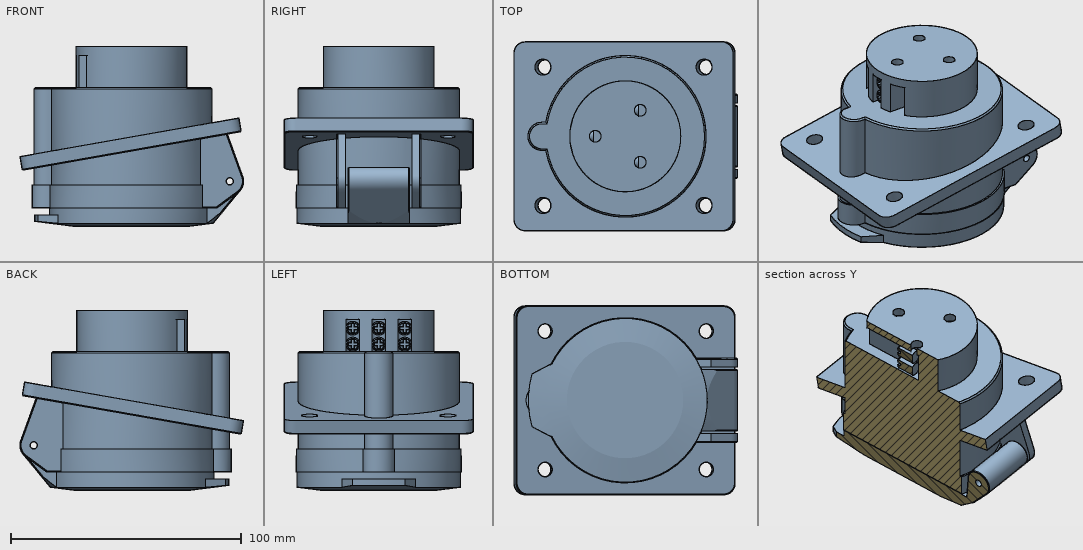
import cadquery as cq
import math

BARREL_R = 35.0
BARREL_TOP = 60.2
BARREL_CHAMFER = 0.7
KEY_X = -36.1
KEY_R = 6.1
COLLAR_STEP = 0.8
COLLAR_BOTTOM = 8.0
COLLAR_TOP = 18.0
COLLAR_R = BARREL_R + COLLAR_STEP

FLANGE_TILT = math.radians(10)
FLANGE_CENTER_X = -0.3
FLANGE_CENTER_Z = 35.6
FLANGE_LENGTH = 96.5
FLANGE_WIDTH = 82.0
FLANGE_THICKNESS = 6.0
FLANGE_CORNER_R = 5.0
FLANGE_CHAMFER = 0.4
MOUNT_HOLE_TOP_D = 7.0
MOUNT_HOLE_BOTTOM_D = 6.2
MOUNT_PITCH_X = 70.9
MOUNT_PITCH_Y = 60.0

INSERT_R = 24.1
INSERT_TOP = 78.0
WIRE_HOLE_D = 5.0
WIRE_CIRCLE_R = 13.0
WIRE_COUNT = 3
SLOT_WIDTH = 6.0
SLOT_TOP = 74.1

SCREW_D = SLOT_WIDTH
SCREW_LENGTH = 8.3
SCREW_CHAMFER = 0.6
SCREW_TIP_OFFSET = 0.9
SCREW_HEIGHTS = (63.4, 70.3)
CROSS_SPAN = 4.5
CROSS_WIDTH = 1.65
CROSS_DEPTH = 1.5
CROSS_TAPER = 11

HINGE_X = 42.7
HINGE_Z = 19.5
HINGE_R = 6.0
HINGE_HOLE_D = 3.0
HINGE_CHAMFER = 0.5
EAR_OUTER_Y = 18.2
EAR_INNER_Y = 14.4
EAR_TOP_X = 41.5
EAR_TOP_Z = 40.4
EAR_FOOT_X = 37.2
EAR_ROOT_X = 24.3

LID_R = 35.5
LID_TOP = COLLAR_BOTTOM
LID_FLAT_R = 25.2
LUG_HALF_WIDTH = 13.4
LUG_ROOT_X = 27.2
LUG_FLARE = 1.2
TAB_R = 42.0
TAB_TOP = 4.95
TAB_RISE = 2.1
TAB_ROOT_HALF_WIDTH = 16.0
TAB_END_HALF_WIDTH = 11.5
CONE_SLOPE = TAB_RISE / (TAB_R - LID_FLAT_R)
LID_RIM_Z = CONE_SLOPE * (LID_R - LID_FLAT_R)

HINGE_NOSE = (HINGE_X + HINGE_R, HINGE_Z)
WIRE_POINTS = [
    (WIRE_CIRCLE_R * math.cos(angle), WIRE_CIRCLE_R * math.sin(angle))
    for angle in (math.pi + 2 * math.pi * i / WIRE_COUNT for i in range(WIRE_COUNT))
]


def plan(z):
    return cq.Workplane("XY", origin=(0, 0, z))


def side_profile(y):
    """XZ sketch plane at the given Y; extruding goes toward -Y."""
    return cq.Workplane("XZ", origin=(0, y, 0))


def keyed_barrel(bottom, top, growth=0.0):
    """Cylinder with a half-round key on its -X side, grown outward all round."""
    key_r = KEY_R + growth
    height = top - bottom
    barrel = plan(bottom).circle(BARREL_R + growth).extrude(height)
    key = plan(bottom).center(KEY_X, 0).circle(key_r).extrude(height)
    bridge = plan(bottom).center(KEY_X / 2, 0).rect(-KEY_X, 2 * key_r).extrude(height)
    return barrel.union(key).union(bridge)


def tangent_point(x, z, side):
    """Touch point on the hinge round of a line from (x, z); side picks which of the two."""
    dx = x - HINGE_X
    dz = z - HINGE_Z
    angle = math.atan2(dz, dx) + side * math.acos(HINGE_R / math.hypot(dx, dz))
    return (HINGE_X + HINGE_R * math.cos(angle), HINGE_Z + HINGE_R * math.sin(angle))


def make_mount_hole():
    """Tapered hole cutter, wide end up, centred on the flange mid-plane."""
    return cq.Solid.makeCone(
        MOUNT_HOLE_BOTTOM_D / 2,
        MOUNT_HOLE_TOP_D / 2,
        FLANGE_THICKNESS,
        pnt=cq.Vector(0, 0, -FLANGE_THICKNESS / 2),
    )


def make_flange():
    plane = cq.Plane(
        origin=(FLANGE_CENTER_X, 0, FLANGE_CENTER_Z),
        xDir=(math.cos(FLANGE_TILT), 0, math.sin(FLANGE_TILT)),
        normal=(-math.sin(FLANGE_TILT), 0, math.cos(FLANGE_TILT)),
    )
    plate = (
        cq.Workplane(plane)
        .box(FLANGE_LENGTH, FLANGE_WIDTH, FLANGE_THICKNESS)
        .edges(cq.selectors.ParallelDirSelector(plane.zDir))
        .fillet(FLANGE_CORNER_R)
        .faces(cq.selectors.DirectionMinMaxSelector(plane.zDir, False))
        .chamfer(FLANGE_CHAMFER)
    )
    holes = (
        cq.Workplane(plane)
        .rarray(MOUNT_PITCH_X, MOUNT_PITCH_Y, 2, 2)
        .eachpoint(make_mount_hole(), True)
    )
    return plate.cut(holes)


def make_insert():
    insert = plan(BARREL_TOP).circle(INSERT_R).extrude(INSERT_TOP - BARREL_TOP)
    for x, y in WIRE_POINTS:
        wire_hole = plan(BARREL_TOP).center(x, y).circle(WIRE_HOLE_D / 2).extrude(INSERT_TOP - BARREL_TOP)
        slot_height = SLOT_TOP - BARREL_TOP
        slot_length = x + INSERT_R
        slot_end = plan(BARREL_TOP).center(x, y).circle(SLOT_WIDTH / 2).extrude(slot_height)
        slot = plan(BARREL_TOP).center(x - slot_length / 2, y).rect(slot_length, SLOT_WIDTH).extrude(slot_height)
        insert = insert.cut(wire_hole).cut(slot_end).cut(slot)
    return insert


def make_ear(side):
    """Hinge ear under the flange, on the +Y (side = 1) or -Y (side = -1) half."""
    ear_top = tangent_point(EAR_TOP_X, EAR_TOP_Z, -1)
    ear_low = tangent_point(EAR_FOOT_X, COLLAR_BOTTOM, 1)
    ear = (
        side_profile(-EAR_INNER_Y)
        .moveTo(EAR_ROOT_X, COLLAR_BOTTOM)
        .lineTo(EAR_FOOT_X, COLLAR_BOTTOM)
        .lineTo(*ear_low)
        .threePointArc(HINGE_NOSE, ear_top)
        .lineTo(EAR_TOP_X, EAR_TOP_Z)
        .lineTo(EAR_ROOT_X, EAR_TOP_Z - (EAR_TOP_X - EAR_ROOT_X) * math.tan(FLANGE_TILT))
        .close()
        .extrude(EAR_OUTER_Y - EAR_INNER_Y)
        .faces("<Y")
        .chamfer(HINGE_CHAMFER)
    )
    return ear if side < 0 else ear.mirror("XZ")


def hinge_bore():
    return (
        side_profile(EAR_OUTER_Y)
        .center(HINGE_X, HINGE_Z)
        .circle(HINGE_HOLE_D / 2)
        .extrude(2 * EAR_OUTER_Y)
    )


def make_housing():
    barrel = keyed_barrel(COLLAR_BOTTOM, BARREL_TOP).faces(">Z").chamfer(BARREL_CHAMFER)
    collar = keyed_barrel(COLLAR_BOTTOM, COLLAR_TOP, COLLAR_STEP)
    housing = barrel.union(collar).union(make_flange())
    for side in (-1, 1):
        housing = housing.union(make_ear(side))
    return housing.union(make_insert()).cut(hinge_bore())


def lug_flare():
    """Upturned cone that grows from the lid rim and trims the lug's lower corners."""
    top = HINGE_Z + HINGE_R
    top_r = LID_R + LUG_FLARE * (top - LID_RIM_Z)
    outline = [(0, LID_RIM_Z), (LID_R, LID_RIM_Z), (top_r, top), (0, top)]
    return cq.Workplane("XZ").polyline(outline).close().revolve(360, (0, 0, 0), (0, 1, 0))


def make_lug():
    """Hinge lug of the lid, between the two ears."""
    lug_low = tangent_point(LID_R, LID_RIM_Z, 1)
    lug_top = tangent_point(COLLAR_R, LID_TOP, -1)
    lug = (
        side_profile(LUG_HALF_WIDTH)
        .moveTo(LUG_ROOT_X, LID_RIM_Z)
        .lineTo(LID_R, LID_RIM_Z)
        .lineTo(*lug_low)
        .threePointArc(HINGE_NOSE, lug_top)
        .lineTo(COLLAR_R, LID_TOP)
        .lineTo(LUG_ROOT_X, LID_TOP)
        .close()
        .extrude(2 * LUG_HALF_WIDTH)
        .faces("<Y or >Y")
        .edges()
        .filter(lambda edge: edge.Center().x > LID_R)
        .chamfer(HINGE_CHAMFER)
    )
    return lug.intersect(lug_flare())


def dished_disc(radius, top):
    """Disc with a flat centre and a conical underside rising toward the rim."""
    rim_z = CONE_SLOPE * (radius - LID_FLAT_R)
    outline = [(0, 0), (LID_FLAT_R, 0), (radius, rim_z), (radius, top), (0, top)]
    return cq.Workplane("XZ").polyline(outline).close().revolve(360, (0, 0, 0), (0, 1, 0))


def make_tab():
    """Finger tab on the -X side, its end concentric with the lid."""
    end_x = -math.sqrt(TAB_R**2 - TAB_END_HALF_WIDTH**2)
    root_x = -math.sqrt(LID_R**2 - TAB_ROOT_HALF_WIDTH**2)
    outline = (
        cq.Workplane("XY")
        .moveTo(0, TAB_ROOT_HALF_WIDTH)
        .lineTo(root_x, TAB_ROOT_HALF_WIDTH)
        .lineTo(end_x, TAB_END_HALF_WIDTH)
        .threePointArc((-TAB_R, 0), (end_x, -TAB_END_HALF_WIDTH))
        .lineTo(root_x, -TAB_ROOT_HALF_WIDTH)
        .lineTo(0, -TAB_ROOT_HALF_WIDTH)
        .close()
        .extrude(TAB_TOP)
    )
    return outline.intersect(dished_disc(TAB_R, TAB_TOP))


def make_lid():
    return dished_disc(LID_R, LID_TOP).union(make_tab()).union(make_lug()).cut(hinge_bore())


def make_screw(tip_x, y, z):
    """Headless cross-recess screw along X, its recess facing -X."""
    head_x = tip_x - SCREW_LENGTH
    screw = (
        cq.Workplane("YZ", origin=(head_x, y, z))
        .circle(SCREW_D / 2)
        .extrude(SCREW_LENGTH)
        .faces("<X")
        .chamfer(SCREW_CHAMFER)
    )
    for width, height in ((CROSS_SPAN, CROSS_WIDTH), (CROSS_WIDTH, CROSS_SPAN)):
        recess = (
            cq.Workplane("YZ", origin=(head_x, y, z))
            .rect(width, height)
            .extrude(CROSS_DEPTH, taper=CROSS_TAPER)
        )
        screw = screw.cut(recess)
    return screw


housing = make_housing()
lid = make_lid()
screws = [
    make_screw(x - SCREW_TIP_OFFSET, y, z)
    for x, y in WIRE_POINTS
    for z in SCREW_HEIGHTS
]

result = cq.Compound.makeCompound([housing.val(), lid.val(), *[screw.val() for screw in screws]])